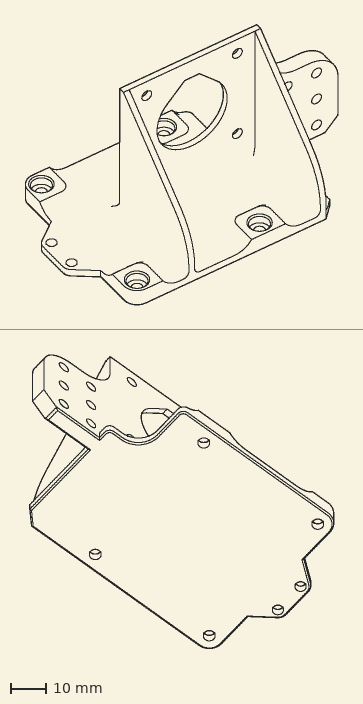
import cadquery as cq
import math

PLATE_WIDTH = 57.0
PLATE_THICKNESS = 3.0
PLATE_FRONT = 7.9
PLATE_BACK = 78.0
FRONT_CORNER_RADIUS = 4.5
BACK_CORNER_CHAMFER = 3.9
STEP_X = 18.1
STEP_INNER_RADIUS = 7.0
STEP_CORNER_RADIUS = 1.9
BOTTOM_CHAMFER = 0.5

HOLE_DIAMETER = 3.3

SCREW_MARGIN = 4.5
SCREW_SPACING_Y = 42.0
PAD_HEIGHT = 6.0
PAD_TOP_HALF = 5.8
PAD_FOOT_HALF = 11.6
PAD_CORNER_RADIUS = 3.0
PAD_SHARP_RADIUS = 0.05
PAD_OVERHANG = 0.02
PAD_SECTIONS = 6
COUNTERBORE_DIAMETER = 6.2
COUNTERBORE_DEPTH = 3.0
COUNTERBORE_CHAMFER = 0.5

screw_xs = (SCREW_MARGIN, PLATE_WIDTH - SCREW_MARGIN)
screw_front_y = PLATE_FRONT + SCREW_MARGIN
screw_ys = (screw_front_y, screw_front_y + SCREW_SPACING_Y)
screw_points = [(x, y) for x in screw_xs for y in screw_ys]
step_y = screw_ys[1] + PAD_FOOT_HALF

TAIL_HOLE_SPACING = 10.0
TAIL_HOLE_DIAMETER = 3.2
TAIL_RADIUS = 3.0
TAIL_TIP_HALF = 6.4

plate_middle_x = PLATE_WIDTH / 2
tail_root_half = plate_middle_x - SCREW_MARGIN - PAD_FOOT_HALF

BOX_LEFT = 22.3
BOX_BACK = 74.1
BOX_DEPTH_Y = 47.0
BOX_HEIGHT = 49.0
WALL = 2.0
FOOT_FILLET = 2.0
SIDE_WALL_RADIUS = 24.0

box_front = BOX_BACK - BOX_DEPTH_Y
box_middle_y = BOX_BACK - BOX_DEPTH_Y / 2

MOTOR_Z = 28.0
MOTOR_RADIUS = 12.0
TEARDROP_HEIGHT = 14.5
MOTOR_SCREW_SPACING = 31.0

FLANGE_THICKNESS = 5.0
FLANGE_END = 98.5
FLANGE_HEIGHT = 30.0
FLANGE_RADIUS = 10.0
FLANGE_CHAMFER = 5.0
FLANGE_FILLET = 3.0
FLANGE_HOLE_PITCH = 10.0
FLANGE_HOLE_Y = 81.1
FLANGE_HOLE_Z = 5.0
FLANGE_HOLE_COLUMNS = 2
FLANGE_HOLE_ROWS = 3
EDGE_REACH = 0.1

flange_right = BOX_LEFT + FLANGE_THICKNESS


def plate_outline(height):
    """Plate with its tail, extruded upwards from z = 0."""
    outline = (
        cq.Workplane("XY")
        .moveTo(0, PLATE_FRONT)
        .lineTo(plate_middle_x - tail_root_half, PLATE_FRONT)
        .lineTo(plate_middle_x - TAIL_TIP_HALF, 0)
        .lineTo(plate_middle_x + TAIL_TIP_HALF, 0)
        .lineTo(plate_middle_x + tail_root_half, PLATE_FRONT)
        .lineTo(PLATE_WIDTH, PLATE_FRONT)
        .lineTo(PLATE_WIDTH, PLATE_BACK - BACK_CORNER_CHAMFER)
        .lineTo(PLATE_WIDTH - BACK_CORNER_CHAMFER, PLATE_BACK)
        .lineTo(STEP_X, PLATE_BACK)
        .lineTo(STEP_X, step_y)
        .lineTo(0, step_y)
        .close()
        .extrude(height)
    )
    rounded_corners = (
        (0, PLATE_FRONT, FRONT_CORNER_RADIUS),
        (PLATE_WIDTH, PLATE_FRONT, FRONT_CORNER_RADIUS),
        (plate_middle_x - TAIL_TIP_HALF, 0, TAIL_RADIUS),
        (plate_middle_x + TAIL_TIP_HALF, 0, TAIL_RADIUS),
        (0, step_y, STEP_CORNER_RADIUS),
        (STEP_X, PLATE_BACK, STEP_CORNER_RADIUS),
        (STEP_X, step_y, STEP_INNER_RADIUS),
    )
    for x, y, radius in rounded_corners:
        corner = cq.selectors.NearestToPointSelector((x, y, height / 2))
        outline = outline.edges("|Z").edges(corner).fillet(radius)
    return outline


def flange():
    """Plate along YZ with a concave shoulder where it meets the motor box."""
    shoulder_y = BOX_BACK + FLANGE_RADIUS
    diagonal = FLANGE_RADIUS * math.sqrt(0.5)
    return (
        cq.Workplane("YZ", origin=(BOX_LEFT, 0, 0))
        .moveTo(BOX_BACK - WALL, 0)
        .lineTo(FLANGE_END - FLANGE_CHAMFER, 0)
        .lineTo(FLANGE_END, FLANGE_CHAMFER)
        .lineTo(FLANGE_END, FLANGE_HEIGHT - FLANGE_RADIUS)
        .radiusArc((FLANGE_END - FLANGE_RADIUS, FLANGE_HEIGHT), -FLANGE_RADIUS)
        .lineTo(shoulder_y, FLANGE_HEIGHT)
        .threePointArc(
            (shoulder_y - diagonal, FLANGE_HEIGHT + FLANGE_RADIUS - diagonal),
            (BOX_BACK, FLANGE_HEIGHT + FLANGE_RADIUS),
        )
        .lineTo(BOX_BACK - WALL, FLANGE_HEIGHT + FLANGE_RADIUS)
        .close()
        .extrude(FLANGE_THICKNESS)
    )


def left_pad(screw_y, front_y, rounded_corners):
    """Pad from the left side of the plate; its flanks sweep down in an arc tangent to the plate.

    front_y gives the front side for an inset of the flanks. The rounded corners sharpen downwards.
    The pad overhangs the plate sides slightly, so that trimming it leaves flat sides.
    """
    rise = PAD_HEIGHT - PLATE_THICKNESS
    run = PAD_FOOT_HALF - PAD_TOP_HALF
    flank_radius = (rise**2 + run**2) / (2 * rise)
    flank_angle = math.asin(run / flank_radius)
    left = -PAD_OVERHANG
    sections = []
    for i in range(PAD_SECTIONS):
        angle = flank_angle * i / (PAD_SECTIONS - 1)
        inset = flank_radius * math.sin(angle)
        right = SCREW_MARGIN + PAD_FOOT_HALF - inset
        front = front_y(inset)
        back = screw_y + PAD_FOOT_HALF - inset
        z = PLATE_THICKNESS + flank_radius * (1 - math.cos(angle))
        corner_radius = max(PAD_CORNER_RADIUS * inset / run, PAD_SHARP_RADIUS)
        section = cq.Sketch().rect(right - left, back - front).vertices(rounded_corners).fillet(corner_radius)
        center = cq.Vector((left + right) / 2, (front + back) / 2, z)
        sections.append(section.moved(cq.Location(center)))
    return cq.Workplane("XY").placeSketch(*sections).loft()


def left_front_pad():
    """Pad that stops flush with the front side of the plate."""
    return left_pad(screw_ys[0], lambda inset: PLATE_FRONT - PAD_OVERHANG, ">X and >Y")


def left_back_pad():
    """Pad with a flank on both its front and back sides."""
    foot_front = screw_ys[1] - PAD_FOOT_HALF
    return left_pad(screw_ys[1], lambda inset: foot_front + inset, ">X")


def box_block():
    """Solid block of the motor box with its side profile: vertical at -X, sloping 45 degrees, then round."""
    diagonal = SIDE_WALL_RADIUS * math.sqrt(0.5)
    slope_start_x = BOX_LEFT + WALL
    arc_start_x = PLATE_WIDTH - SIDE_WALL_RADIUS + diagonal
    arc_start_z = BOX_HEIGHT - (arc_start_x - slope_start_x)
    return (
        cq.Workplane("XZ", origin=(0, BOX_BACK, 0))
        .moveTo(BOX_LEFT, PLATE_THICKNESS)
        .lineTo(BOX_LEFT, BOX_HEIGHT)
        .lineTo(slope_start_x, BOX_HEIGHT)
        .lineTo(arc_start_x, arc_start_z)
        .radiusArc((PLATE_WIDTH, arc_start_z - diagonal), SIDE_WALL_RADIUS)
        .lineTo(PLATE_WIDTH, PLATE_THICKNESS)
        .close()
        .extrude(BOX_DEPTH_Y)
    )


def box_cavity():
    """Inside of the motor box, with the fillet along the foot of its three walls."""
    depth_y = BOX_DEPTH_Y - 2 * WALL
    height = BOX_HEIGHT - PLATE_THICKNESS
    cavity = (
        cq.Workplane("XY")
        .box(PLATE_WIDTH - BOX_LEFT, depth_y, height, centered=(False, True, False))
        .translate((BOX_LEFT + WALL, box_middle_y, PLATE_THICKNESS))
    )
    return cavity.edges("<Z").edges("not(>X)").fillet(FOOT_FILLET)


def plate_with_motor_box():
    """Plate and motor box, filleted on a plain rectangular plate and then trimmed to the plate outline."""
    body = cq.Workplane("XY").box(PLATE_WIDTH, PLATE_BACK, PLATE_THICKNESS, centered=False).union(box_block())
    foot_edges = cq.selectors.BoxSelector(
        (BOX_LEFT - EDGE_REACH, box_front - EDGE_REACH, PLATE_THICKNESS - EDGE_REACH),
        (PLATE_WIDTH - EDGE_REACH, BOX_BACK + EDGE_REACH, PLATE_THICKNESS + EDGE_REACH),
    )
    body = body.edges(foot_edges).fillet(FOOT_FILLET)
    return body.cut(box_cavity()).intersect(plate_outline(BOX_HEIGHT))


def add_flange(body):
    """Join the flange, with a fillet from its +X face to the plate and to the side wall."""
    inner_edges = cq.selectors.BoxSelector(
        (flange_right - EDGE_REACH, BOX_BACK - EDGE_REACH, PLATE_THICKNESS - EDGE_REACH),
        (flange_right + EDGE_REACH, PLATE_BACK - EDGE_REACH, FLANGE_HEIGHT),
    )
    return body.union(flange()).edges(inner_edges).fillet(FLANGE_FILLET)


def pad_screw_hole():
    """Counterbored screw hole with a chamfered mouth, on the Z axis."""
    bore_radius = COUNTERBORE_DIAMETER / 2
    return (
        cq.Workplane("XZ")
        .lineTo(HOLE_DIAMETER / 2, 0)
        .lineTo(HOLE_DIAMETER / 2, PAD_HEIGHT - COUNTERBORE_DEPTH)
        .lineTo(bore_radius, PAD_HEIGHT - COUNTERBORE_DEPTH)
        .lineTo(bore_radius, PAD_HEIGHT - COUNTERBORE_CHAMFER)
        .lineTo(bore_radius + COUNTERBORE_CHAMFER, PAD_HEIGHT)
        .lineTo(0, PAD_HEIGHT)
        .close()
        .revolve()
    )


def motor_opening():
    """Teardrop opening through the motor wall, with 45 degree flanks and a flat top."""
    tangent = MOTOR_RADIUS * math.sqrt(0.5)
    flat_half = 2 * tangent - TEARDROP_HEIGHT
    return (
        cq.Workplane("YZ", origin=(BOX_LEFT, box_middle_y, MOTOR_Z))
        .moveTo(-flat_half, TEARDROP_HEIGHT)
        .lineTo(-tangent, tangent)
        .threePointArc((0, -MOTOR_RADIUS), (tangent, tangent))
        .lineTo(flat_half, TEARDROP_HEIGHT)
        .close()
        .extrude(WALL)
    )


def wall_holes(points, depth):
    """Holes along +X from the outer face of the motor wall; points are (y, z)."""
    return (
        cq.Workplane("YZ", origin=(BOX_LEFT, 0, 0))
        .pushPoints(points)
        .circle(HOLE_DIAMETER / 2)
        .extrude(depth)
    )


result = add_flange(plate_with_motor_box())
result = result.faces("<Z").edges().chamfer(BOTTOM_CHAMFER)

for left in (left_front_pad(), left_back_pad()):
    right = left.mirror("YZ", (plate_middle_x, 0, 0))
    for pad in (left, right):
        result = result.union(pad.intersect(plate_outline(PAD_HEIGHT)))
for x, y in screw_points:
    result = result.cut(pad_screw_hole().translate((x, y, 0)))

tail_holes = (
    cq.Workplane("XY")
    .pushPoints([(plate_middle_x + side * TAIL_HOLE_SPACING / 2, TAIL_RADIUS) for side in (-1, 1)])
    .circle(TAIL_HOLE_DIAMETER / 2)
    .extrude(PLATE_THICKNESS)
)
result = result.cut(tail_holes)

motor_offset = MOTOR_SCREW_SPACING / 2
motor_screws = [
    (box_middle_y + side * motor_offset, MOTOR_Z + level * motor_offset)
    for side in (-1, 1)
    for level in (-1, 1)
]
result = result.cut(motor_opening()).cut(wall_holes(motor_screws, WALL))

flange_holes = [
    (FLANGE_HOLE_Y + column * FLANGE_HOLE_PITCH, FLANGE_HOLE_Z + row * FLANGE_HOLE_PITCH)
    for column in range(FLANGE_HOLE_COLUMNS)
    for row in range(FLANGE_HOLE_ROWS)
]
result = result.cut(wall_holes(flange_holes, FLANGE_THICKNESS))